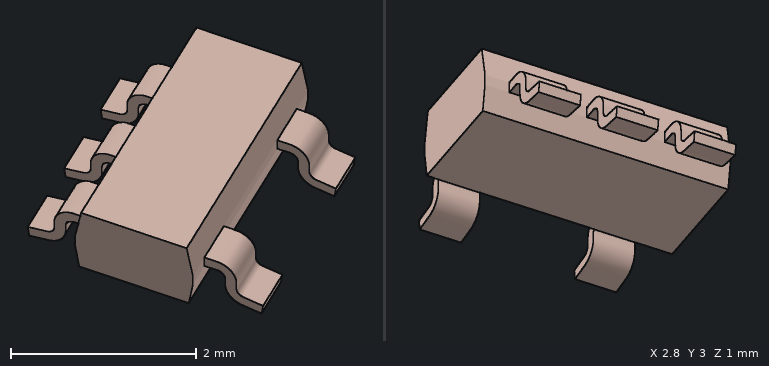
import cadquery as cq
import math

housing_length = 3.0
waist_width = 1.405
top_width = 1.255
bottom_width = 1.302
housing_top = 1.0
housing_bottom = 0.132

lead_span = 2.8
lead_width = 0.507
lead_thickness = 0.135
lead_pitch = 0.948
lead_top = 0.59
shank_outer_x = 1.083
inner_radius = 0.1
foot_tilt = math.radians(8)
outer_radius = inner_radius + lead_thickness
waist_top = lead_top
waist_bottom = lead_top - lead_thickness

left_rows = (-1, 0, 1)
right_rows = (-1, 1)


def make_housing():
    """Eight-cornered section with a flat waist, extruded symmetrically along Y."""
    right_edge = [
        (bottom_width / 2, housing_bottom),
        (waist_width / 2, waist_bottom),
        (waist_width / 2, waist_top),
        (top_width / 2, housing_top),
    ]
    left_edge = [(-x, z) for x, z in reversed(right_edge)]
    section = cq.Workplane("XZ").polyline(right_edge + left_edge).close()
    return section.extrude(housing_length / 2, both=True)


def point_at(center, radius, angle):
    """Point at a radius and angle (radians) from a center."""
    return (center[0] + radius * math.cos(angle), center[1] + radius * math.sin(angle))


def make_lead():
    """Gull-wing lead on the +X side, centered on Y = 0."""
    shoulder = (shank_outer_x - outer_radius, lead_top - outer_radius)

    toe_top = (lead_span / 2, lead_thickness * math.cos(foot_tilt))
    toe_bottom = (toe_top[0] - lead_thickness * math.sin(foot_tilt), 0)

    ankle_x = shank_outer_x + inner_radius
    foot_end_x = ankle_x - inner_radius * math.sin(foot_tilt)
    foot_end_z = toe_top[1] + (toe_top[0] - foot_end_x) * math.tan(foot_tilt)
    ankle = (ankle_x, foot_end_z + inner_radius * math.cos(foot_tilt))

    ankle_start = math.pi
    ankle_end = 1.5 * math.pi - foot_tilt
    ankle_middle = (ankle_start + ankle_end) / 2
    shoulder_start = math.pi / 2
    shoulder_middle = math.pi / 4

    outline = (
        cq.Workplane("XZ")
        .moveTo(waist_width / 2, waist_top)
        .lineTo(*point_at(shoulder, outer_radius, shoulder_start))
        .threePointArc(
            point_at(shoulder, outer_radius, shoulder_middle),
            point_at(shoulder, outer_radius, 0),
        )
        .lineTo(*point_at(ankle, inner_radius, ankle_start))
        .threePointArc(
            point_at(ankle, inner_radius, ankle_middle),
            point_at(ankle, inner_radius, ankle_end),
        )
        .lineTo(*toe_top)
        .lineTo(*toe_bottom)
        .lineTo(*point_at(ankle, outer_radius, ankle_end))
        .threePointArc(
            point_at(ankle, outer_radius, ankle_middle),
            point_at(ankle, outer_radius, ankle_start),
        )
        .lineTo(*point_at(shoulder, inner_radius, 0))
        .threePointArc(
            point_at(shoulder, inner_radius, shoulder_middle),
            point_at(shoulder, inner_radius, shoulder_start),
        )
        .lineTo(waist_width / 2, waist_bottom)
        .close()
    )
    return outline.extrude(lead_width / 2, both=True)


housing = make_housing()

leads = []
for row in right_rows:
    leads.append(make_lead().translate((0, row * lead_pitch, 0)).val())
for row in left_rows:
    leads.append(make_lead().mirror("YZ").translate((0, row * lead_pitch, 0)).val())

result = cq.Compound.makeCompound([housing.val(), *leads])